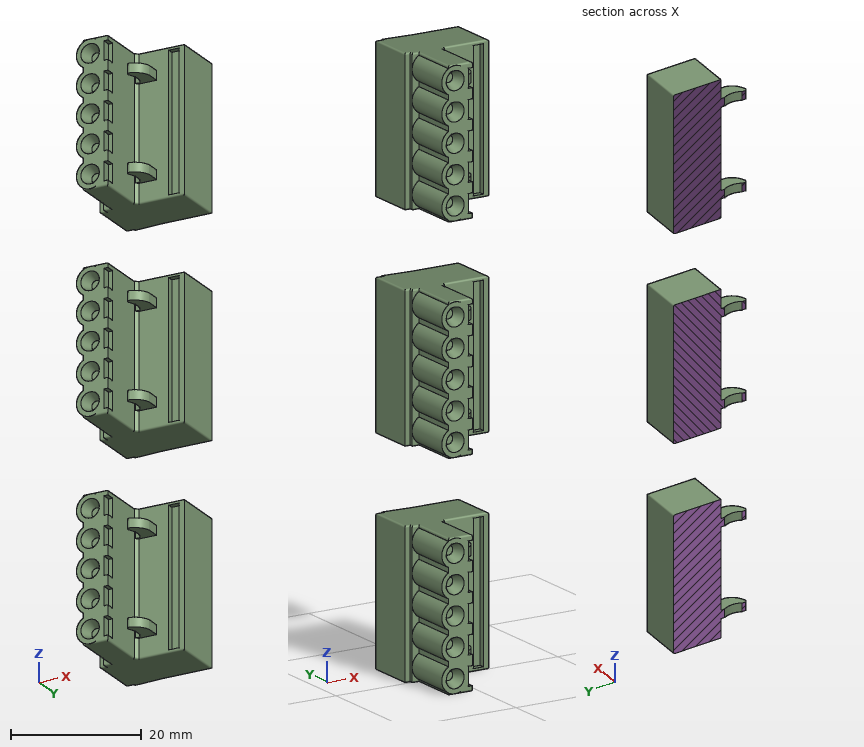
import cadquery as cq


overall_height = 100.4
connector_count = 3
body_height = 25.0
connector_pitch = (overall_height - body_height) / (connector_count - 1)
pole_count = 5
pole_pitch = body_height / pole_count

body_width = 15.0
body_depth = 18.0
left_x = -body_width / 2
right_x = body_width / 2
neck_front_y = -body_depth / 2
ridge_top_y = body_depth / 2

back_y = 8.6
left_front_y = 0.2
block_front_y = -0.1
end_fillet = 0.3

ridge_peak_x = -6.2
ridge_end_x = -1.0

pole_x = -4.1
tube_radius = 2.4
neck_left_x = pole_x - tube_radius
web_left_x = -5.3
neck_right_x = -1.0
shoulder_y = -0.4
corner_chamfer = 0.5

entry_radius = 1.6
entry_end_radius = 0.8
entry_depth = 2.0

notch_height = 3.2
notch_width = 0.7
notch_depth = 1.5

groove_left_x = 4.7
groove_right_x = 6.5
groove_depth = 1.0
groove_end_margin = 0.5

latch_thickness = 1.6
latch_offset = 8.2
latch_outer_x = 2.6
latch_root_embed = 0.5
latch_pad_y = -0.5
outer_curve_start = (latch_outer_x, -2.4)
outer_curve_mid = (2.0, -3.7)
tip_outer = (0.7, -4.6)
tip_mid = (0.1, -4.6)
tip_inner = (-0.1, -4.0)
inner_curve_mid = (0.4, -2.0)
inner_curve_end = (-0.1, latch_pad_y)

pole_heights = [(i - (pole_count - 1) / 2) * pole_pitch for i in range(pole_count)]


def box_between(x_range, y_range, height, z_centre=0.0):
    """Box spanning the given X and Y ranges, centred on z_centre."""
    return (
        cq.Workplane("XY")
        .box(x_range[1] - x_range[0], y_range[1] - y_range[0], height)
        .translate((sum(x_range) / 2, sum(y_range) / 2, z_centre))
    )


def make_core():
    """Block, ridge and neck web as one prism with rounded ends."""
    outline = [
        (left_x, back_y),
        (left_x, left_front_y),
        (neck_left_x, left_front_y),
        (neck_left_x, shoulder_y),
        (web_left_x, shoulder_y),
        (web_left_x, neck_front_y),
        (neck_right_x, neck_front_y),
        (neck_right_x, block_front_y - corner_chamfer),
        (neck_right_x + corner_chamfer, block_front_y),
        (right_x, block_front_y),
        (right_x, back_y),
        (ridge_end_x, back_y),
        (ridge_peak_x, ridge_top_y),
        (ridge_peak_x, back_y),
    ]
    prism = cq.Workplane("XY").polyline(outline).close().extrude(body_height / 2, both=True)
    return prism.faces("|Z").fillet(end_fillet)


def make_tube(z):
    """Round tube wall of one pole, from the neck front to the shoulder."""
    length = shoulder_y - neck_front_y
    return cq.Workplane("XZ", origin=(pole_x, neck_front_y, z)).circle(tube_radius).extrude(-length)


def make_entry(z):
    """Tapered contact entry of one pole, narrowing inwards from the neck front."""
    front_centre = cq.Vector(pole_x, neck_front_y, z)
    inward = cq.Vector(0, 1, 0)
    return cq.Workplane(
        cq.Solid.makeCone(entry_radius, entry_end_radius, entry_depth, front_centre, inward)
    )


def make_notch(z):
    """Notch beside one pole, in the right edge of the neck's front face."""
    return box_between(
        (neck_right_x - notch_width, neck_right_x),
        (neck_front_y, neck_front_y + notch_depth),
        notch_height,
        z,
    )


def make_groove():
    """Long groove in the block front, closed at both ends."""
    return box_between(
        (groove_left_x, groove_right_x),
        (block_front_y, block_front_y + groove_depth),
        body_height - 2 * groove_end_margin,
    )


def make_latch(z):
    """Curved latch hook bending back towards the neck, with a pad joining its root to the neck."""
    root_y = block_front_y + latch_root_embed
    return (
        cq.Workplane("XY", origin=(0, 0, z - latch_thickness / 2))
        .moveTo(latch_outer_x, root_y)
        .lineTo(*outer_curve_start)
        .threePointArc(outer_curve_mid, tip_outer)
        .threePointArc(tip_mid, tip_inner)
        .threePointArc(inner_curve_mid, inner_curve_end)
        .lineTo(neck_right_x, latch_pad_y)
        .lineTo(neck_right_x, root_y)
        .close()
        .extrude(latch_thickness)
    )


def make_connector():
    """One complete connector, centred on Z = 0."""
    connector = make_core()
    for z in pole_heights:
        connector = connector.union(make_tube(z))
    for z in pole_heights:
        connector = connector.cut(make_entry(z)).cut(make_notch(z))
    connector = connector.cut(make_groove())
    for side in (-1, 1):
        connector = connector.union(make_latch(side * latch_offset))
    return connector


connector = make_connector()
connectors = []
for i in range(connector_count):
    z = (i - (connector_count - 1) / 2) * connector_pitch
    connectors.append(connector.translate((0, 0, z)).val())

result = cq.Compound.makeCompound(connectors)